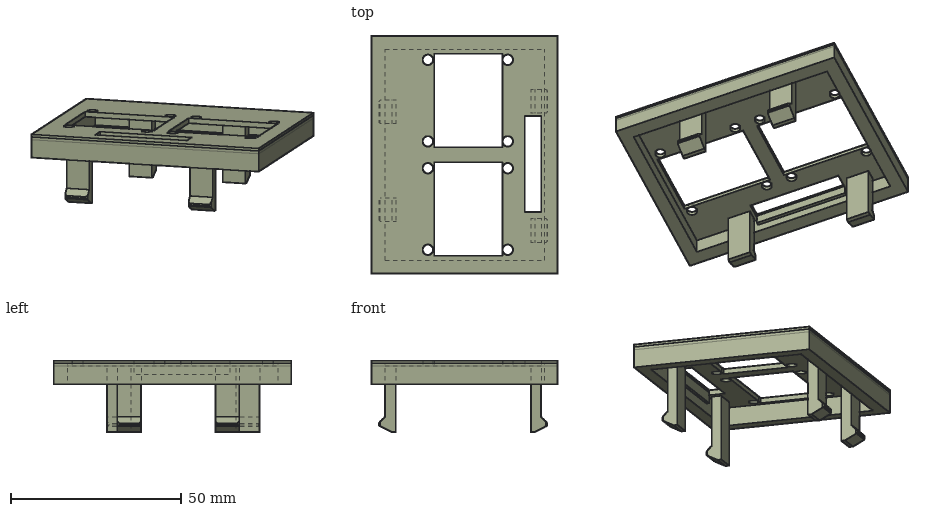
import cadquery as cq
WIDTH = 54.8
LENGTH = 69.9
BODY_HEIGHT = 7.0
LEG_DROP = 14.05

SHEET = 0.8
PAD = 0.8
COVER = SHEET + PAD
PAD_BOTTOM = BODY_HEIGHT - COVER
FRAME_TOP = BODY_HEIGHT - SHEET

WALL = 4.0
OPENING_WIDTH = WIDTH - 2 * WALL
OPENING_LENGTH = LENGTH - 2 * WALL

WINDOW_X = 1.1
WINDOW_WIDTH = 20.0
WINDOW_LENGTH = 27.4
WINDOW_PITCH = 31.9
WINDOW_CENTERS_Y = (-WINDOW_PITCH / 2, WINDOW_PITCH / 2)
HOLE_DIAMETER = 3.0
HOLE_X = 1.0
HOLE_PITCH_X = 23.5
HOLE_PITCH_Y = 24.0

SLOT_WIDTH = 4.8
SLOT_LENGTH = 28.2
SLOT_X = 20.1
SLOT_Y = -2.7
SLOT_EDGE_X = SLOT_X + SLOT_WIDTH / 2
RIB_WIDTH = OPENING_WIDTH / 2 - SLOT_EDGE_X
RIB_X = SLOT_EDGE_X + RIB_WIDTH / 2
RIB_BOTTOM = 2.95

CLIP_LENGTH = 7.0
LEFT_CLIP_INNER_X = -20.2
LEFT_CLIP_THICKNESS = 3.2
LEFT_CLIP_CENTERS_Y = (-16.1, 12.7)
RIGHT_CLIP_INNER_X = 19.5
RIGHT_CLIP_THICKNESS = SLOT_EDGE_X - RIGHT_CLIP_INNER_X
RIGHT_CLIP_CENTERS_Y = (-22.15, 15.8)

BARB_REACH = 1.8
BARB_ROOT = 4.5
BARB_NOSE_TOP = 2.65
BARB_NOSE_BOTTOM = 1.9
TIP_FLAT = 1.2
NOSE_SIDE_CHAMFER = 0.5
NOSE_BOTTOM_CHAMFER = 0.3


def block(width, length, bottom, top, x=0, y=0):
    """Box centered on (x, y) that reaches from height bottom to height top."""
    return cq.Workplane("XY", origin=(x, y, bottom)).rect(width, length).extrude(top - bottom)


def clip(inner_x, thickness, side, center_y):
    """Leg hanging from the pad, with a barb pointing outwards (side is -1 for -X, +1 for +X)."""
    outer_x = inner_x + side * thickness
    nose_x = outer_x + side * BARB_REACH
    tip_z = -LEG_DROP
    outline = [
        (inner_x, PAD_BOTTOM),
        (outer_x, PAD_BOTTOM),
        (outer_x, tip_z + BARB_ROOT),
        (nose_x, tip_z + BARB_NOSE_TOP),
        (nose_x, tip_z + BARB_NOSE_BOTTOM),
        (inner_x + side * TIP_FLAT, tip_z),
        (inner_x, tip_z),
    ]
    leg = cq.Workplane("XZ", origin=(0, center_y + CLIP_LENGTH / 2, 0))
    leg = leg.polyline(outline).close().extrude(CLIP_LENGTH)
    nose = ">X" if side > 0 else "<X"
    leg = leg.faces(nose).edges("|Z").chamfer(NOSE_SIDE_CHAMFER)
    return leg.faces(nose).edges("<Z").chamfer(NOSE_BOTTOM_CHAMFER)


def slot_rib():
    """Rib on the frame's +X wall, flush with the slot."""
    return block(RIB_WIDTH, SLOT_LENGTH, RIB_BOTTOM, FRAME_TOP, RIB_X, SLOT_Y)


def window(center_y):
    """Cutter for one window and its four screw holes."""
    opening = block(WINDOW_WIDTH, WINDOW_LENGTH, PAD_BOTTOM, BODY_HEIGHT, WINDOW_X, center_y)
    holes = cq.Workplane("XY", origin=(HOLE_X, center_y, PAD_BOTTOM))
    holes = holes.rarray(HOLE_PITCH_X, HOLE_PITCH_Y, 2, 2).circle(HOLE_DIAMETER / 2).extrude(COVER)
    return opening.union(holes)


def make_cover():
    sheet = block(WIDTH, LENGTH, FRAME_TOP, BODY_HEIGHT)
    pad = block(OPENING_WIDTH, OPENING_LENGTH, PAD_BOTTOM, FRAME_TOP).cut(slot_rib())
    cover = sheet.union(pad)
    for center_y in WINDOW_CENTERS_Y:
        cover = cover.cut(window(center_y))
    cover = cover.cut(block(SLOT_WIDTH, SLOT_LENGTH, PAD_BOTTOM, BODY_HEIGHT, SLOT_X, SLOT_Y))
    for center_y in LEFT_CLIP_CENTERS_Y:
        cover = cover.union(clip(LEFT_CLIP_INNER_X, LEFT_CLIP_THICKNESS, -1, center_y))
    for center_y in RIGHT_CLIP_CENTERS_Y:
        cover = cover.union(clip(RIGHT_CLIP_INNER_X, RIGHT_CLIP_THICKNESS, 1, center_y))
    return cover


def wall_ring(bottom, top):
    """Four frame walls between two heights."""
    opening = block(OPENING_WIDTH, OPENING_LENGTH, bottom, top)
    return block(WIDTH, LENGTH, bottom, top).cut(opening)


def make_frame():
    frame = wall_ring(0, PAD_BOTTOM).union(slot_rib())
    return frame.union(wall_ring(PAD_BOTTOM, FRAME_TOP), clean=False)


cover = make_cover()
frame = make_frame()
result = cq.Compound.makeCompound([cover.val(), frame.val()])